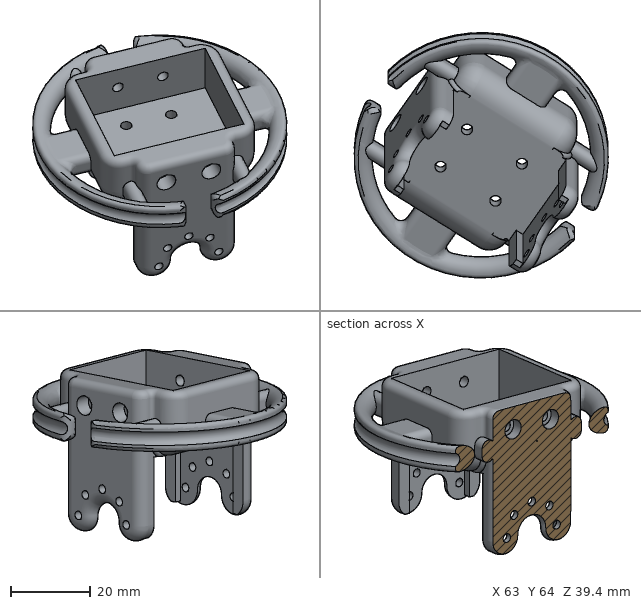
import cadquery as cq
import math


BOX_HEIGHT = 17.5
BLOCK_X = 35.2
BLOCK_Y = 41.0
BLOCK_CORNER = 5.0
BLOCK_BELLY = 7.0
CROSS_X = 44.0
CROSS_Y = 26.0
CROSS_CORNER = 3.0
INNER_CORNER = 1.0
TOP_ROUND = 2.0

POCKET_X = 29.2
POCKET_Y = 34.6
FLOOR = 3.7
FLOOR_HOLE = 2.8
FLOOR_PITCH_X = 16.6
FLOOR_PITCH_Y = 12.0
SIDE_HOLE = 2.8
SIDE_BORE = 5.0
SIDE_SEAT_X = BLOCK_X / 2
SIDE_PITCH = 12.0
SIDE_HOLE_Z = BOX_HEIGHT - 6.2

PART_HEIGHT = 39.4
PLATE_THICKNESS = 3.0
RAIL_THICKNESS = 2.0
RAIL_GAP = 19.3
RAIL_DROP = 3.7
NOTCH_RADIUS = 4.0
LOBE_RADIUS = (CROSS_Y / 2 - NOTCH_RADIUS) / 2
LEG_END_Z = BOX_HEIGHT - PART_HEIGHT
NOTCH_Z = LEG_END_Z + LOBE_RADIUS
LEG_HOLE = 2.2
LEG_HOLE_COUNT = 5
LEG_HOLE_RADIUS = 8.0

RING_RADIUS = 32.0
RING_HEIGHT = 7.0
RING_Z = BOX_HEIGHT - 10.25
RIM_ROUND = 1.0
CORE_RADIUS = RING_RADIUS - RIM_ROUND
RING_INNER = CORE_RADIUS - RING_HEIGHT / 2
GROOVE_RADIUS = 2.0
GROOVE_DEPTH = 1.0
RING_GAP = 7.0
RING_END_ROUND = 2.0

ARM_WIDTH = 12.0
BAR_HEIGHT = 6.0
ARM_ROUND = 2.0
ARM_BLEND = 2.0
ARM_END = 30.5
ROD_WIDTH = 4.0
ROD_Y = 14.0
ROD_END = 27.0


def four_ways(shape):
    """The shape and its mirror images across the XZ and YZ planes."""
    pair = shape.union(shape.mirror("XZ"))
    return pair.union(pair.mirror("YZ"))


def slab(size_x, size_y, bottom, top):
    """Box centred on the Z axis, between two heights."""
    return cq.Workplane("XY", origin=(0, 0, bottom)).rect(size_x, size_y).extrude(top - bottom)


def cylinders_along_x(spots, diameter, length):
    """Cylinders centred on the YZ plane at the given (y, z) spots."""
    return cq.Workplane("YZ").pushPoints(spots).circle(diameter / 2).extrude(length / 2, both=True)


def block():
    """Central block: deep rounding under the Y sides, then rounded X faces."""
    body = slab(BLOCK_X, BLOCK_Y, 0, BOX_HEIGHT)
    body = body.edges("|X and <Z").fillet(BLOCK_BELLY)
    return body.faces("<X or >X").edges("not >Z").fillet(BLOCK_CORNER)


def cross_with_legs():
    """Wide block with two round-ended lobes per leg, hollowed from below."""
    lobe_y = NOTCH_RADIUS + LOBE_RADIUS
    lobe_spots = [(-lobe_y, NOTCH_Z), (lobe_y, NOTCH_Z)]
    body = slab(CROSS_X, CROSS_Y, NOTCH_Z, BOX_HEIGHT)
    body = body.union(cylinders_along_x(lobe_spots, 2 * LOBE_RADIUS, CROSS_X))
    body = body.cut(cylinders_along_x([(0, NOTCH_Z)], 2 * NOTCH_RADIUS, CROSS_X))
    body = body.faces("<X or >X").edges("not >Z").fillet(CROSS_CORNER)

    between_plates = CROSS_X - 2 * PLATE_THICKNESS
    between_rails = between_plates - 2 * RAIL_THICKNESS
    body = body.cut(slab(between_rails, CROSS_Y, LEG_END_Z, 0))
    body = body.cut(slab(between_plates, RAIL_GAP, LEG_END_Z, 0))
    return body.cut(slab(between_plates, CROSS_Y, LEG_END_Z, NOTCH_Z - RAIL_DROP))


def cove_section():
    """Square with one quarter-round hollow, at the height where the lower rounding starts."""
    x = BLOCK_X / 2
    y = CROSS_Y / 2
    r = INNER_CORNER
    return (
        cq.Workplane("XY", origin=(0, 0, BLOCK_CORNER))
        .moveTo(x - r, y - r)
        .lineTo(x + r, y - r)
        .lineTo(x + r, y)
        .radiusArc((x, y + r), -r)
        .lineTo(x - r, y + r)
        .close()
    )


def cove():
    """Rounded inner corner at +X +Y, following the central block's side and lower edge."""
    upright = cove_section().extrude(BOX_HEIGHT - BLOCK_CORNER)
    axis_x = BLOCK_X / 2 - BLOCK_CORNER
    bend = cove_section().revolve(90, (axis_x, 0, 0), (axis_x, 1, 0))
    above_underside = slab(CROSS_X, BLOCK_Y, 0, BOX_HEIGHT)
    return upright.union(bend.intersect(above_underside))


def inner_corner_edges():
    """Selects the upright edges where the sides of the two blocks meet."""
    reach = INNER_CORNER / 2
    bands = []
    for x in (-BLOCK_X / 2, BLOCK_X / 2):
        low = (x - reach, -CROSS_Y / 2 - reach, BLOCK_BELLY)
        high = (x + reach, CROSS_Y / 2 + reach, BOX_HEIGHT)
        bands.append(cq.selectors.BoxSelector(low, high))
    return bands[0] + bands[1]


def upper_box():
    """Upper part of the box, with its whole top outline rounded over."""
    body = slab(BLOCK_X, BLOCK_Y, BLOCK_BELLY, BOX_HEIGHT).edges("|Z").fillet(BLOCK_CORNER)
    cross = slab(CROSS_X, CROSS_Y, BLOCK_BELLY, BOX_HEIGHT).edges("|Z").fillet(CROSS_CORNER)
    body = body.union(cross).edges("|Z").edges(inner_corner_edges()).fillet(INNER_CORNER)
    return body.faces(">Z").edges().fillet(TOP_ROUND)


def box_with_legs():
    """Both blocks joined, with the upper part replaced by its rounded form."""
    body = block().union(cross_with_legs()).union(four_ways(cove()))
    body = body.cut(slab(CROSS_X, BLOCK_Y, BLOCK_BELLY, BOX_HEIGHT))
    return body.union(upper_box())


def ring_hoop():
    """Full ring, with a half-round inner side and rounded outer rims."""
    half = RING_HEIGHT / 2
    flank = half - RIM_ROUND
    return (
        cq.Workplane("XZ")
        .moveTo(RING_RADIUS, -flank)
        .lineTo(RING_RADIUS, flank)
        .radiusArc((CORE_RADIUS, half), -RIM_ROUND)
        .threePointArc((RING_INNER, 0), (CORE_RADIUS, -half))
        .radiusArc((RING_RADIUS, -flank), -RIM_ROUND)
        .close()
        .revolve(360, (0, 0, 0), (0, 1, 0))
    )


def ring_half():
    """The +Y half of the ring, its ends rounded both in plan and in height."""
    half = RING_HEIGHT / 2
    gap = slab(3 * RING_RADIUS, RING_GAP, -half, half)
    far_side = slab(2 * RING_RADIUS, RING_RADIUS, -half, half).translate((0, RING_RADIUS / 2, 0))
    far_side = far_side.cut(gap)
    plan = cq.Workplane("XY", origin=(0, 0, -half)).circle(RING_RADIUS).circle(RING_INNER)
    plan = plan.extrude(RING_HEIGHT).intersect(far_side)
    plan = plan.faces("<Y").edges("|Z").fillet(RING_END_ROUND)
    side = far_side.faces("<Y").edges("|X").fillet(RING_END_ROUND)
    return ring_hoop().intersect(plan).intersect(side)


def arm():
    """Rounded bar along +Y, from the middle of the box into the ring."""
    bar = cq.Workplane("XZ").rect(ARM_WIDTH, BAR_HEIGHT).extrude(-ARM_END)
    return bar.edges("|Y").fillet(ARM_ROUND)


def arm_joint_edges():
    """Selects the edges where the arm enters the ring."""
    margin = 0.1
    side = ARM_WIDTH / 2 + margin
    low = (-side, RING_INNER - ARM_BLEND, -RING_HEIGHT)
    high = (side, ARM_END - margin, RING_HEIGHT)
    return cq.selectors.BoxSelector(low, high, boundingbox=True)


def rods():
    """Round-edged rods along X, from the box corners into the ring."""
    section = cq.Workplane("YZ").pushPoints([(-ROD_Y, 0), (ROD_Y, 0)])
    return section.slot2D(BAR_HEIGHT, ROD_WIDTH, 90).extrude(ROD_END, both=True)


def frame():
    """Ring, arms and rods, with the groove cut all round the ring."""
    half = ring_half().union(arm())
    half = half.edges(arm_joint_edges()).fillet(ARM_BLEND)
    groove_centre = RING_RADIUS + GROOVE_RADIUS - GROOVE_DEPTH
    groove = cq.Workplane("XY").add(cq.Solid.makeTorus(groove_centre, GROOVE_RADIUS))
    body = half.union(half.mirror("XZ")).union(rods()).cut(groove)
    return body.translate((0, 0, RING_Z))


def pocket():
    """Rectangular pocket, open at the top."""
    return slab(POCKET_X, POCKET_Y, FLOOR, BOX_HEIGHT)


def floor_holes():
    """Four screw holes through the floor."""
    spots = cq.Workplane("XY").rect(FLOOR_PITCH_X, FLOOR_PITCH_Y, forConstruction=True).vertices()
    return spots.circle(FLOOR_HOLE / 2).extrude(BOX_HEIGHT)


def side_holes():
    """Two screw holes through each X wall, counterbored from outside."""
    spots = [(-SIDE_PITCH / 2, SIDE_HOLE_Z), (SIDE_PITCH / 2, SIDE_HOLE_Z)]
    bores = cylinders_along_x(spots, SIDE_BORE, CROSS_X)
    bores = bores.cut(slab(2 * SIDE_SEAT_X, CROSS_Y, 0, BOX_HEIGHT))
    return bores.union(cylinders_along_x(spots, SIDE_HOLE, CROSS_X))


def leg_holes():
    """Holes on a half circle above the notch, through both legs."""
    spots = []
    for step in range(LEG_HOLE_COUNT):
        angle = math.pi * step / (LEG_HOLE_COUNT - 1)
        y = LEG_HOLE_RADIUS * math.cos(angle)
        z = NOTCH_Z + LEG_HOLE_RADIUS * math.sin(angle)
        spots.append((y, z))
    return cylinders_along_x(spots, LEG_HOLE, CROSS_X)


result = (
    box_with_legs()
    .union(frame())
    .cut(pocket())
    .cut(floor_holes())
    .cut(side_holes())
    .cut(leg_holes())
)